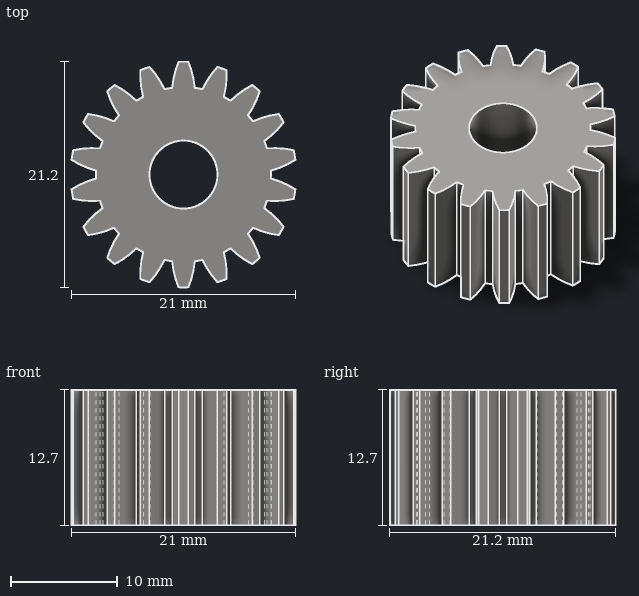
import cadquery as cq
import math

INCH = 25.4
TOOTH_COUNT = 18
DIAMETRAL_PITCH = 24
DEDENDUM_FACTOR = 1.25
FACE_WIDTH = 0.5 * INCH
BORE_DIAMETER = 0.25 * INCH
FIRST_TOOTH_ANGLE = math.radians(90)

TIP_THICKNESS = 0.92
ROOT_THICKNESS = 2.14

module = INCH / DIAMETRAL_PITCH
pitch_radius = module * TOOTH_COUNT / 2
tip_radius = pitch_radius + module
root_radius = pitch_radius - DEDENDUM_FACTOR * module
tooth_pitch = 2 * math.pi / TOOTH_COUNT

tip_half_angle = math.asin(TIP_THICKNESS / 2 / tip_radius)
pitch_half_angle = tooth_pitch / 4
root_half_angle = math.asin(ROOT_THICKNESS / 2 / root_radius)


def polar(radius, angle):
    return (radius * math.cos(angle), radius * math.sin(angle))


def add_tooth(outline, center):
    """Add one tooth, with a single arc per flank, and the root arc that follows it."""
    next_root_start = center + tooth_pitch - root_half_angle
    return (
        outline.threePointArc(
            polar(pitch_radius, center - pitch_half_angle),
            polar(tip_radius, center - tip_half_angle),
        )
        .threePointArc(polar(tip_radius, center), polar(tip_radius, center + tip_half_angle))
        .threePointArc(
            polar(pitch_radius, center + pitch_half_angle),
            polar(root_radius, center + root_half_angle),
        )
        .threePointArc(
            polar(root_radius, center + tooth_pitch / 2),
            polar(root_radius, next_root_start),
        )
    )


def gear_blank():
    """Toothed body standing on the XY plane, with the first tooth centred on +Y."""
    outline = cq.Workplane("XY").moveTo(*polar(root_radius, FIRST_TOOTH_ANGLE - root_half_angle))
    for tooth in range(TOOTH_COUNT):
        outline = add_tooth(outline, FIRST_TOOTH_ANGLE + tooth * tooth_pitch)
    return outline.close().extrude(FACE_WIDTH)


def bore():
    """Cylinder of the shaft hole through the full face width."""
    return cq.Workplane("XY").circle(BORE_DIAMETER / 2).extrude(FACE_WIDTH)


result = gear_blank().cut(bore())